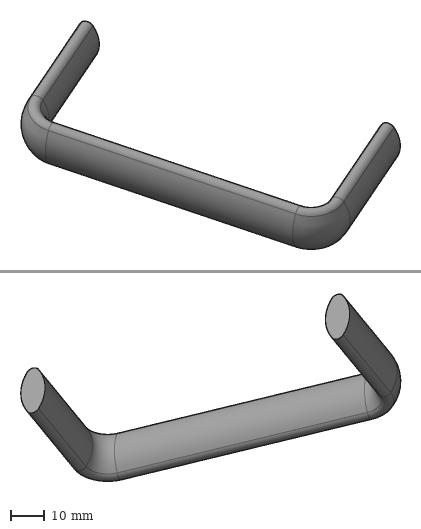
import cadquery as cq

length = 108.0
depth = 47.9
height = 16.0

thickness = height / 2
edge_radius = 2.3
bend_inner_radius = 5.0
bend_radius = bend_inner_radius + thickness / 2

leg_x = (length - thickness) / 2
grip_y = thickness / 2
bend_end_x = leg_x - bend_radius
bend_end_y = grip_y + bend_radius
centreline = (
    cq.Workplane("XY")
    .moveTo(-leg_x, depth)
    .lineTo(-leg_x, bend_end_y)
    .radiusArc((-bend_end_x, grip_y), -bend_radius)
    .lineTo(bend_end_x, grip_y)
    .radiusArc((leg_x, bend_end_y), -bend_radius)
    .lineTo(leg_x, depth)
)

half_thickness = thickness / 2
half_height = height / 2
edge_centre_z = half_height - edge_radius
side_radius = (half_thickness**2 + edge_centre_z**2 - edge_radius**2) / (2 * (half_thickness - edge_radius))

side_centre_offset = side_radius - half_thickness
centre_distance = side_radius - edge_radius
joint_x = edge_radius * side_centre_offset / centre_distance
joint_z = side_radius * edge_centre_z / centre_distance

section = (
    cq.Workplane("XZ", origin=(-leg_x, depth, 0))
    .moveTo(joint_x, -joint_z)
    .threePointArc((half_thickness, 0), (joint_x, joint_z))
    .threePointArc((0, half_height), (-joint_x, joint_z))
    .threePointArc((-half_thickness, 0), (-joint_x, -joint_z))
    .threePointArc((0, -half_height), (joint_x, -joint_z))
    .close()
)

result = section.sweep(centreline)